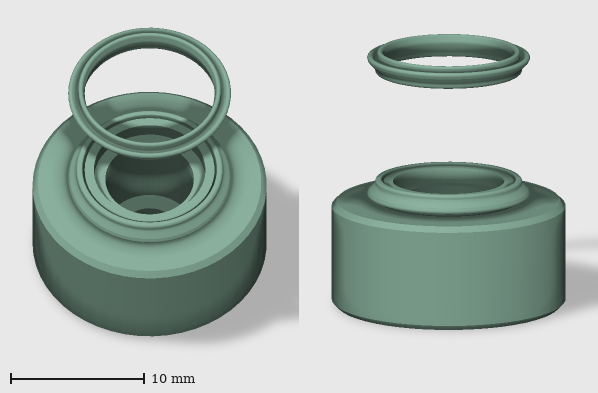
import cadquery as cq
import math

DRUM_DIAMETER = 17.6
DRUM_HEIGHT = 8.0
DRUM_CHAMFER = 0.4
BOSS_HEIGHT = 1.5
COUNTERBORE_DIAMETER = 8.4
COUNTERBORE_DEPTH = 1.15
POCKET_DIAMETER = 6.65
POCKET_FLOOR = 2.0
THROUGH_DIAMETER = 4.13

RING_HEIGHT = 1.7
STACK_HEIGHT = 19.6

LIP_RADIUS = 10.73 / 2
LIP_ROUND = 0.18
BORE_TAPER = 15.0
RIDGE_RADIUS = 4.88
RIDGE_ROUND = 0.4
RIDGE_HEIGHT = 0.59

FLANGE_RADIUS = 6.12
FLANGE_ROUND = 0.2
FLANGE_HEIGHT = 0.55
FLANGE_SLOPE = 45.0
FLANGE_ROUND_END = 28.0
FLANGE_CHAMFER_END = 0.82
GROOVE_ROUND = 0.11

COLLAR_RADIUS = 11.05 / 2
COLLAR_START = 1.39
COLLAR_ROOT_ROUND = 0.2
COLLAR_EDGE_ROUND = 0.22
COLLAR_BORE_RADIUS = 10.1 / 2
COLLAR_BORE_START = 1.38
COLLAR_BORE_ROUND = 0.1

BOSS_RADIUS = RIDGE_RADIUS


def make_housing():
    drum = cq.Workplane("XY").circle(DRUM_DIAMETER / 2).extrude(DRUM_HEIGHT)
    drum = drum.edges("%CIRCLE").chamfer(DRUM_CHAMFER)
    boss_top = DRUM_HEIGHT + BOSS_HEIGHT
    boss = cq.Workplane("XY").circle(BOSS_RADIUS).extrude(boss_top)
    pocket_depth = boss_top - POCKET_FLOOR
    return (
        drum.union(boss)
        .faces(">Z")
        .workplane(origin=(0, 0, 0))
        .cboreHole(THROUGH_DIAMETER, POCKET_DIAMETER, pocket_depth)
        .faces(">Z")
        .workplane(origin=(0, 0, 0))
        .hole(COUNTERBORE_DIAMETER, COUNTERBORE_DEPTH)
    )


def on_circle(center, radius, degrees):
    """Point of a circle in the (radius, height) plane, turned from the outward direction."""
    angle = math.radians(degrees)
    return (center[0] + radius * math.cos(angle), center[1] + radius * math.sin(angle))


def arc(outline, center, radius, start, end):
    """Draw a line to the start of a circular arc, then the arc itself; angles in degrees."""
    return outline.lineTo(*on_circle(center, radius, start)).threePointArc(
        on_circle(center, radius, (start + end) / 2),
        on_circle(center, radius, end),
    )


def make_ring():
    """Seal ring about Z, with the end of its lip at Z = 0 and its collar upward."""
    lip_center = (LIP_RADIUS - LIP_ROUND, LIP_ROUND)
    flange_center = (FLANGE_RADIUS - FLANGE_ROUND, FLANGE_HEIGHT)
    root_center_radius = COLLAR_RADIUS + COLLAR_ROOT_ROUND
    edge_center = (COLLAR_RADIUS - COLLAR_EDGE_ROUND, RING_HEIGHT - COLLAR_EDGE_ROUND)
    bore_edge_center = (COLLAR_BORE_RADIUS + COLLAR_BORE_ROUND, RING_HEIGHT - COLLAR_BORE_ROUND)
    ridge_center = (RIDGE_RADIUS + RIDGE_ROUND, RIDGE_HEIGHT)
    slope = math.tan(math.radians(FLANGE_SLOPE))

    inner_cone_top = on_circle(flange_center, FLANGE_ROUND, 180 + FLANGE_SLOPE)
    root_end = on_circle((LIP_RADIUS + GROOVE_ROUND, 0), GROOVE_ROUND, FLANGE_SLOPE)
    root_end_height = inner_cone_top[1] + (inner_cone_top[0] - root_end[0]) * slope
    groove_center = (LIP_RADIUS + GROOVE_ROUND, root_end_height - root_end[1])

    collar_root_center = (root_center_radius, COLLAR_START)
    outer_cone_end = on_circle(collar_root_center, COLLAR_ROOT_ROUND, 180 + FLANGE_SLOPE)
    outer_cone_start_radius = outer_cone_end[0] + (outer_cone_end[1] - FLANGE_CHAMFER_END) / slope

    outline = cq.Workplane("XZ").moveTo(*on_circle(lip_center, LIP_ROUND, 180 + BORE_TAPER))
    outline = outline.threePointArc(
        on_circle(lip_center, LIP_ROUND, 270),
        on_circle(lip_center, LIP_ROUND, 360),
    )
    outline = arc(outline, groove_center, GROOVE_ROUND, 180, FLANGE_SLOPE)
    outline = arc(outline, flange_center, FLANGE_ROUND, 180 + FLANGE_SLOPE, 360 + FLANGE_ROUND_END)
    outline = outline.lineTo(outer_cone_start_radius, FLANGE_CHAMFER_END)
    outline = arc(outline, collar_root_center, COLLAR_ROOT_ROUND, 180 + FLANGE_SLOPE, 180)
    outline = arc(outline, edge_center, COLLAR_EDGE_ROUND, 0, 90)
    outline = arc(outline, bore_edge_center, COLLAR_BORE_ROUND, 90, 180)
    outline = outline.lineTo(COLLAR_BORE_RADIUS, COLLAR_BORE_START)
    outline = arc(outline, ridge_center, RIDGE_ROUND, 180 - BORE_TAPER, 180 + BORE_TAPER)
    return outline.close().revolve(360, (0, 0, 0), (0, 1, 0))


housing = make_housing()

ring_placements = [(0, DRUM_HEIGHT), (180, STACK_HEIGHT)]
rings = []
for turn, lip_end in ring_placements:
    ring = make_ring().rotate((0, 0, 0), (1, 0, 0), turn).translate((0, 0, lip_end))
    rings.append(ring.val())

result = cq.Compound.makeCompound([housing.val(), *rings])